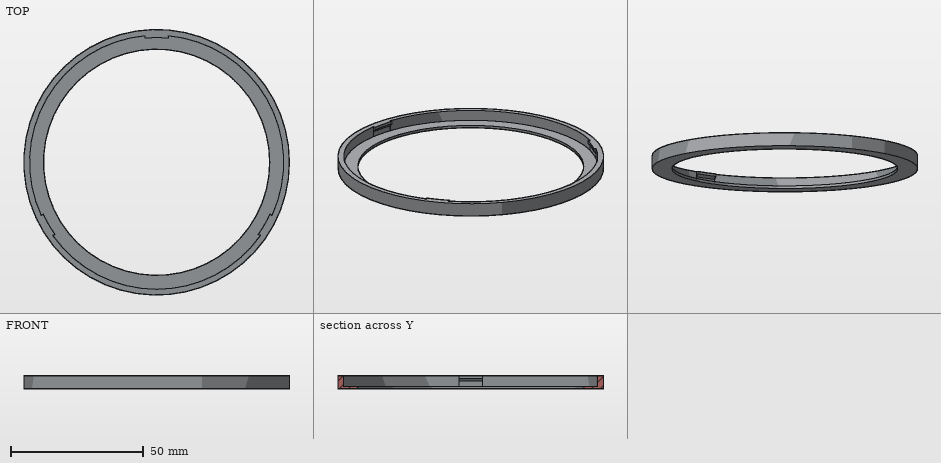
import cadquery as cq

outer_diameter = 100.4
opening_diameter = 85.4
height = 5.0

recess_diameter = 96.0
floor_thickness = 1.0

tab_count = 3
tab_width = 8.8
tab_reach = 0.9
tab_lip_height = 1.0
tab_slope_drop = 1.0
tab_pad_thickness = 0.1
first_tab_angle = 90.0

outer_radius = outer_diameter / 2
recess_radius = recess_diameter / 2
tab_tip_radius = recess_radius - tab_reach
tab_pad_radius = recess_radius - tab_pad_thickness


def make_ring():
    """Flat ring with a raised outer rim."""
    ring = cq.Workplane("XY").circle(outer_radius).circle(opening_diameter / 2).extrude(height)
    recess = (
        cq.Workplane("XY", origin=(0, 0, floor_thickness))
        .circle(recess_radius)
        .extrude(height - floor_thickness)
    )
    return ring.cut(recess)


def make_lip():
    """Full circular lip with the tab cross-section, its root buried in the rim."""
    root_radius = (outer_radius + recess_radius) / 2
    lip_bottom = height - tab_lip_height
    slope_bottom = lip_bottom - tab_slope_drop
    return (
        cq.Workplane("XZ")
        .moveTo(tab_tip_radius, height)
        .lineTo(tab_tip_radius, lip_bottom)
        .lineTo(tab_pad_radius, slope_bottom)
        .lineTo(tab_pad_radius, floor_thickness)
        .lineTo(root_radius, floor_thickness)
        .lineTo(root_radius, height)
        .close()
        .revolve(360, (0, 0), (0, 1))
    )


def make_tab(lip, angle):
    """Parallel-sided piece of the lip, centred on the given angle."""
    sector = (
        cq.Workplane("XY")
        .box(outer_radius, tab_width, height, centered=(False, True, False))
        .rotate((0, 0, 0), (0, 0, 1), angle)
    )
    return lip.intersect(sector)


lip = make_lip()
result = make_ring()
for index in range(tab_count):
    result = result.union(make_tab(lip, first_tab_angle + index * 360 / tab_count))